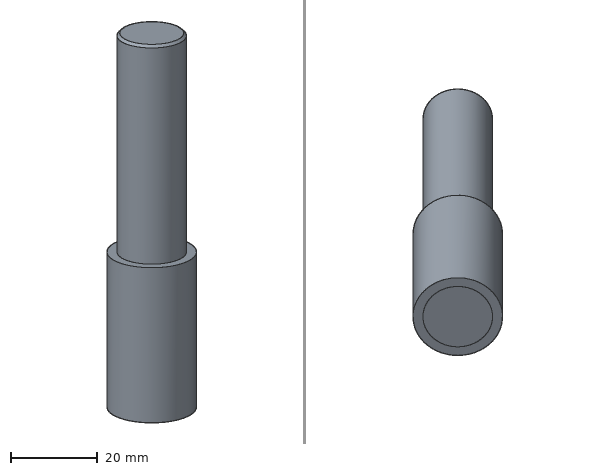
import cadquery as cq

total_height = 92.1
pin_diameter = 16.0
pin_chamfer = 0.6
sleeve_diameter = 20.6
sleeve_height = 38.2


def make_pin():
    """Full-length round pin with a chamfered top edge, standing on the base plane."""
    pin = cq.Workplane("XY").circle(pin_diameter / 2).extrude(total_height)
    return pin.faces(">Z").edges().chamfer(pin_chamfer)


def make_sleeve():
    """Plain sleeve around the lower part of the pin, with a bore that fits the pin."""
    return (
        cq.Workplane("XY")
        .circle(sleeve_diameter / 2)
        .circle(pin_diameter / 2)
        .extrude(sleeve_height)
    )


pin = make_pin()
sleeve = make_sleeve()

result = cq.Compound.makeCompound([pin.val(), sleeve.val()])